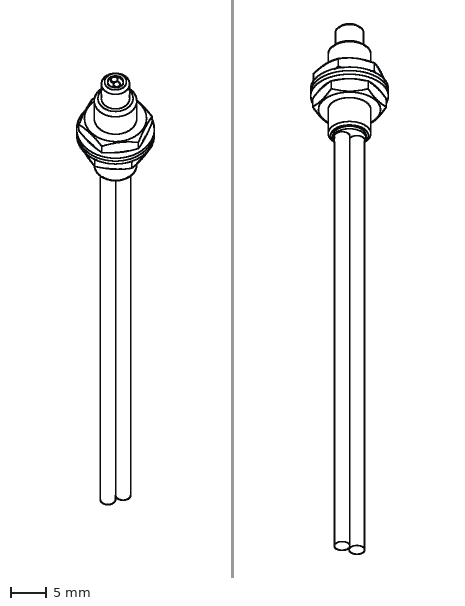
import cadquery as cq
import math

total_length = 88.5

snout_diameter = 4.0
snout_length = 3.5
snout_chamfer = 0.4
barrel_diameter = 6.0
barrel_length = 14.5
shoulder_chamfer = 0.5
barrel_chamfer = 0.35
collar_diameter = 4.7
collar_length = 0.4

bore_diameter = 2.2
bore_depth = 0.3
core_diameter = 1.0

fibre_diameter = 2.2
fibre_spacing = 2.3
fibre_embedment = 0.9

nut_across_flats = 9.0
nut_height = 2.3
nut_chamfer_angle = 30.0
nut_face_diameter = 8.8
upper_nut_turn = 17.0
lower_nut_turn = 5.0
washer_diameter = 11.0
washer_thickness = 0.6
washer_count = 2
nut_setback = 7.8

snout_radius = snout_diameter / 2
barrel_radius = barrel_diameter / 2
collar_radius = collar_diameter / 2
shoulder_z = total_length - snout_length
barrel_bottom_z = shoulder_z - barrel_length
collar_bottom_z = barrel_bottom_z - collar_length
upper_nut_z = total_length - nut_setback - nut_height
washer_stack_z = upper_nut_z - washer_count * washer_thickness
lower_nut_z = washer_stack_z - nut_height


def cylinder(diameter, height, base_z, x=0.0, y=0.0):
    return cq.Workplane("XY", origin=(x, y, base_z)).circle(diameter / 2).extrude(height)


def make_head():
    """Stepped, chamfered head turned about Z."""
    return (
        cq.Workplane("XZ")
        .moveTo(0, collar_bottom_z)
        .lineTo(collar_radius, collar_bottom_z)
        .lineTo(collar_radius, barrel_bottom_z)
        .lineTo(barrel_radius - barrel_chamfer, barrel_bottom_z)
        .lineTo(barrel_radius, barrel_bottom_z + barrel_chamfer)
        .lineTo(barrel_radius, shoulder_z - shoulder_chamfer)
        .lineTo(barrel_radius - shoulder_chamfer, shoulder_z)
        .lineTo(snout_radius, shoulder_z)
        .lineTo(snout_radius, total_length - snout_chamfer)
        .lineTo(snout_radius - snout_chamfer, total_length)
        .lineTo(0, total_length)
        .close()
        .revolve(360, (0, 0, 0), (0, 1, 0))
    )


def make_probe():
    """Head and fibre pair as one body, with the bare fibre ends flush with the tip."""
    probe = make_head().cut(cylinder(bore_diameter, bore_depth, total_length - bore_depth))
    for side in (-1, 1):
        fibre = cylinder(fibre_diameter, collar_bottom_z + fibre_embedment, 0, y=side * fibre_spacing / 2)
        core = cylinder(core_diameter, bore_depth, total_length - bore_depth, x=side * core_diameter / 2)
        probe = probe.union(fibre).union(core)
    return probe


def make_nut(base_z, turn):
    """Hexagonal nut with a corner turned from +X and both faces chamfered."""
    corner_diameter = nut_across_flats / math.cos(math.pi / 6)
    corner_radius = corner_diameter / 2
    face_radius = nut_face_diameter / 2
    chamfer_height = (corner_radius - face_radius) * math.tan(math.radians(nut_chamfer_angle))
    hexagon = cq.Workplane("XY").polygon(6, corner_diameter).extrude(nut_height)
    chamfer_envelope = (
        cq.Workplane("XZ")
        .lineTo(face_radius, 0)
        .lineTo(corner_radius, chamfer_height)
        .lineTo(corner_radius, nut_height - chamfer_height)
        .lineTo(face_radius, nut_height)
        .lineTo(0, nut_height)
        .close()
        .revolve(360, (0, 0, 0), (0, 1, 0))
    )
    bore = cylinder(barrel_diameter, nut_height, 0)
    nut = hexagon.intersect(chamfer_envelope).cut(bore)
    return nut.rotate((0, 0, 0), (0, 0, 1), turn).translate((0, 0, base_z))


def make_washer(base_z):
    bore = cylinder(barrel_diameter, washer_thickness, base_z)
    return cylinder(washer_diameter, washer_thickness, base_z).cut(bore)


probe = make_probe()
nuts = [make_nut(upper_nut_z, upper_nut_turn), make_nut(lower_nut_z, lower_nut_turn)]
washers = [make_washer(washer_stack_z + i * washer_thickness) for i in range(washer_count)]

bodies = [probe] + nuts + washers
result = cq.Compound.makeCompound([body.val() for body in bodies])